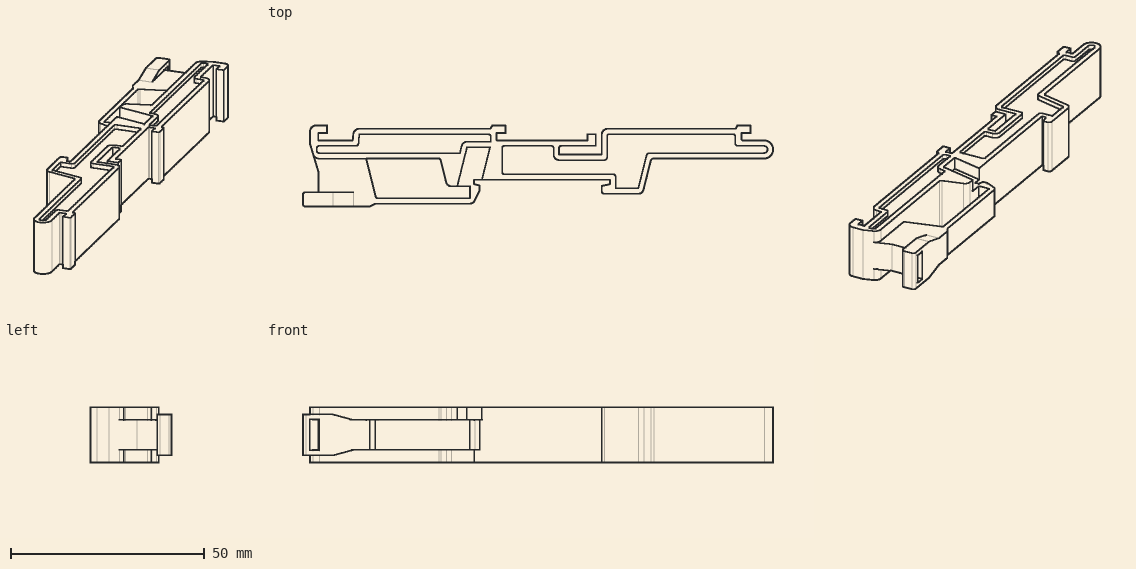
import cadquery as cq
import math

LENGTH = 121.4
DEPTH = 21.0
HEIGHT = 14.3
MID_HEIGHT = HEIGHT / 2

WALL = 1.5
POCKET_DEPTH = 1.2

FINE_ROUND = 0.2
SMALL_ROUND = 0.5
MEDIUM_ROUND = 0.7
LARGE_ROUND = 1.5
OUTER_ROUND = 1.7
MIN_EDGE = 0.001

RAIL_TOP = 20.2
HOOK_MOUTH = 19.0
LEDGE = 17.1
CHANNEL_FLOOR = 13.5
RAIL_BOTTOM = 12.4
BODY_BOTTOM = 6.9
WEDGE_BOTTOM = 5.2
FOOT_BOTTOM = 3.3
SLANT = 0.25

BODY_LEFT = 1.8
LEFT_STEP = 12.9
STEP_RUN = 0.2
LEFT_HOOK = 50.0
CHANNEL_LEFT = 66.2
CHANNEL_RIGHT = 77.1
TONGUE_END = 75.6
FOOT_NECK = 79.3
FOOT_TOP_RIGHT = 90.0
RIGHT_HOOK = 113.3
WEDGE_LEFT = 35.5
WEDGE_RIGHT = 44.2

HOOK_REACH = 2.3
HOOK_SHOULDER = 1.6
SHOULDER_RUN = 0.5
TONGUE_LIP_WIDTH = 2.2
TONGUE_LIP_TOP = 18.7
FOOT_TIP_TOP = 5.3
FOOT_NECK_BOTTOM = 5.8

CLIP_HEIGHT = 7.8
WEB_LEFT = 4.0
WEB_KNEE = 9.0
WEB_SHOULDER = 16.3
WINDOW_LEFT = 19.0
WINDOW_RIGHT = 43.1
ARM_BOTTOM = 0.7
CATCH_CORNER = 44.0
CATCH_LOW = 4.1
CATCH_HIGH = 5.5
TAB_DEPTH = 3.8
TAB_HEIGHT = 10.6
TAB_WIDE_END = 7.8
TAB_TAPER_END = 13.0
TAB_FLAT_END = 17.2
TAB_RAMP_END = 18.7
TAB_SLOT_LEFT = 1.8
TAB_SLOT_LENGTH = 2.4
TAB_SLOT_HEIGHT = 8.0

RECESS_LEFT = 42.4
RECESS_RIGHT = 48.3
RECESS_TOP = 15.3

LEFT_POCKET_START = 3.6
RIGHT_POCKET_STEP = 111.6


def toward(start, end, distance):
    """Point at a distance from start along the line to end."""
    ratio = distance / math.dist(start, end)
    return (start[0] + (end[0] - start[0]) * ratio, start[1] + (end[1] - start[1]) * ratio)


def outline(corners, bottom, height):
    """Extrude a closed outline of (x, y) corners; (x, y, r) rounds that corner with radius r."""
    steps = []
    for i, corner in enumerate(corners):
        point = corner[:2]
        if len(corner) == 2:
            steps.append((point,))
            continue
        radius = corner[2]
        before = corners[i - 1][:2]
        after = corners[(i + 1) % len(corners)][:2]
        unit_before = toward(point, before, 1.2)
        unit_after = toward(point, after, 1.2)
        half_angle = math.asin(math.dist(unit_before, unit_after) / 2.4)
        middle = ((unit_before[0] + unit_after[0]) / 2, (unit_before[1] + unit_after[1]) / 2)
        setback = radius / math.tan(half_angle)
        crest = radius / math.sin(half_angle) - radius
        steps.append((toward(point, before, setback), toward(point, middle, crest),
                      toward(point, after, setback)))
    position = steps[0][-1]
    sketch = cq.Workplane("XY").workplane(offset=bottom).moveTo(*position)
    for step in steps[1:] + steps[:1]:
        if math.dist(position, step[0]) > MIN_EDGE:
            sketch = sketch.lineTo(*step[0])
        if len(step) > 1:
            sketch = sketch.threePointArc(*step[1:])
        position = step[-1]
    return sketch.close().extrude(height)


def slanted_x(x, y, new_y):
    """X at new_y on the slanted wall that passes through (x, y)."""
    return x + SLANT * (new_y - y)


def back_hook(mouth_wall):
    """Corners of a back hook that opens to the right, from the rail top to the ledge."""
    shoulder = mouth_wall - HOOK_SHOULDER
    tip = mouth_wall + HOOK_REACH
    return [
        (shoulder, RAIL_TOP),
        (shoulder + SHOULDER_RUN, DEPTH),
        (tip, DEPTH, FINE_ROUND),
        (tip, HOOK_MOUTH),
        (mouth_wall, HOOK_MOUTH),
        (mouth_wall, LEDGE, FINE_ROUND),
    ]


def make_body():
    """Full-height body: two rails joined by a middle block, with hooks and the fixed foot."""
    end_radius = (LEDGE - RAIL_BOTTOM) / 2
    foot_right = slanted_x(FOOT_TOP_RIGHT, RAIL_BOTTOM, FOOT_BOTTOM)
    wedge_tip = slanted_x(WEDGE_LEFT, WEDGE_BOTTOM, RAIL_BOTTOM)
    left_hook_tip = WEB_LEFT + HOOK_REACH
    web_slant = (WEB_LEFT - BODY_LEFT) / (WEB_SHOULDER - WEB_KNEE)
    rail_corner = BODY_LEFT + web_slant * (WEB_SHOULDER - RAIL_BOTTOM)
    corners = [
        (BODY_LEFT, DEPTH, OUTER_ROUND),
        (left_hook_tip, DEPTH),
        (left_hook_tip, HOOK_MOUTH),
        (WEB_LEFT, HOOK_MOUTH),
        (WEB_LEFT, LEDGE),
        (LEFT_STEP, LEDGE),
        (LEFT_STEP + STEP_RUN, RAIL_TOP, OUTER_ROUND),
    ]
    corners += back_hook(LEFT_HOOK)
    corners += [
        (TONGUE_END - TONGUE_LIP_WIDTH, LEDGE),
        (TONGUE_END - TONGUE_LIP_WIDTH, TONGUE_LIP_TOP),
        (TONGUE_END, TONGUE_LIP_TOP),
        (TONGUE_END, LEDGE - WALL),
        (CHANNEL_LEFT, LEDGE - WALL, SMALL_ROUND),
        (CHANNEL_LEFT, CHANNEL_FLOOR),
        (CHANNEL_RIGHT, CHANNEL_FLOOR),
        (CHANNEL_RIGHT, RAIL_TOP, OUTER_ROUND),
    ]
    corners += back_hook(RIGHT_HOOK)
    corners += [
        (LENGTH, LEDGE, end_radius),
        (LENGTH, RAIL_BOTTOM, end_radius),
        (FOOT_TOP_RIGHT, RAIL_BOTTOM, MEDIUM_ROUND),
        (foot_right, FOOT_BOTTOM, LARGE_ROUND),
        (CHANNEL_RIGHT, FOOT_BOTTOM, MEDIUM_ROUND),
        (CHANNEL_RIGHT, FOOT_TIP_TOP, FINE_ROUND),
        (FOOT_NECK, FOOT_NECK_BOTTOM, FINE_ROUND),
        (FOOT_NECK, BODY_BOTTOM),
        (WEDGE_RIGHT, BODY_BOTTOM),
        (WEDGE_RIGHT, WEDGE_BOTTOM),
        (wedge_tip, WEDGE_BOTTOM, LARGE_ROUND),
        (WEDGE_LEFT, RAIL_BOTTOM, SMALL_ROUND),
        (rail_corner, RAIL_BOTTOM, OUTER_ROUND),
        (BODY_LEFT, WEB_SHOULDER),
    ]
    return outline(corners, 0, HEIGHT)


def make_clip():
    """Web, spring arm and catch, centred in height, around an open window."""
    bottom = MID_HEIGHT - CLIP_HEIGHT / 2
    arm_top = ARM_BOTTOM + WALL
    window_top_left = slanted_x(WINDOW_LEFT, RAIL_BOTTOM, arm_top)
    catch_tip = WEDGE_RIGHT + WALL
    clip = outline([
        (BODY_LEFT, WEB_SHOULDER),
        (WEB_LEFT, WEB_KNEE),
        (WEB_LEFT, 0),
        (TAB_FLAT_END, 0),
        (TAB_RAMP_END, ARM_BOTTOM),
        (WINDOW_RIGHT, ARM_BOTTOM),
        (WINDOW_RIGHT, arm_top),
        (WINDOW_LEFT, arm_top, SMALL_ROUND),
        (window_top_left, RAIL_BOTTOM),
        (window_top_left, WEB_SHOULDER),
    ], bottom, CLIP_HEIGHT)
    catch = outline([
        (WINDOW_RIGHT - WALL, ARM_BOTTOM),
        (CATCH_CORNER, ARM_BOTTOM, LARGE_ROUND),
        (catch_tip, CATCH_LOW),
        (catch_tip, CATCH_HIGH, FINE_ROUND),
        (WEDGE_RIGHT, FOOT_NECK_BOTTOM),
        (WEDGE_RIGHT, BODY_BOTTOM),
        (WINDOW_RIGHT, BODY_BOTTOM),
        (WINDOW_RIGHT, arm_top),
        (WINDOW_RIGHT - WALL, arm_top),
    ], bottom, CLIP_HEIGHT)
    return clip.union(catch)


def make_tab():
    """Release tab that tapers in height into the clip, with a slot through its free end."""
    half_tab = TAB_HEIGHT / 2
    half_clip = CLIP_HEIGHT / 2
    upper = [(0, half_tab), (TAB_WIDE_END, half_tab), (TAB_TAPER_END, half_clip)]
    lower = [(x, -z) for x, z in reversed(upper)]
    tab = (
        cq.Workplane("XZ", origin=(0, 0, MID_HEIGHT))
        .polyline(upper + lower)
        .close()
        .extrude(-TAB_DEPTH)
    )
    return tab.edges("|Z and <X").fillet(MEDIUM_ROUND)


def make_tab_slot():
    """Cutter for the slot through the tab."""
    return cq.Workplane("XY").box(
        TAB_SLOT_LENGTH, TAB_DEPTH, TAB_SLOT_HEIGHT, centered=(False, False, True)
    ).translate((TAB_SLOT_LEFT, 0, MID_HEIGHT))


def make_left_pocket():
    """Cutter for the shallow pocket that follows the left rail."""
    low = RAIL_BOTTOM + WALL
    high = LEDGE - WALL
    step = LEFT_STEP + WALL
    right = LEFT_HOOK - WALL
    recess_wall = RECESS_LEFT - WALL
    return outline([
        (LEFT_POCKET_START, high, SMALL_ROUND),
        (step, high, MEDIUM_ROUND),
        (step + STEP_RUN, RAIL_TOP - WALL),
        (right, RAIL_TOP - WALL, MEDIUM_ROUND),
        (right, RECESS_TOP + WALL),
        (slanted_x(recess_wall, RECESS_TOP, RECESS_TOP + WALL), RECESS_TOP + WALL, LARGE_ROUND),
        (slanted_x(recess_wall, RECESS_TOP, low), low),
        (LEFT_POCKET_START, low, SMALL_ROUND),
    ], HEIGHT - POCKET_DEPTH, POCKET_DEPTH)


def make_right_pocket():
    """Cutter for the shallow pocket that follows the middle block, the foot and the right rail."""
    low = RAIL_BOTTOM + WALL
    high = LEDGE - WALL
    foot_floor = FOOT_BOTTOM + WALL
    foot_wall = FOOT_TOP_RIGHT - WALL
    end = LENGTH - WALL
    end_radius = (high - low) / 2
    return outline([
        (LEFT_HOOK + WALL, high, SMALL_ROUND),
        (CHANNEL_LEFT - WALL, high, SMALL_ROUND),
        (CHANNEL_LEFT - WALL, CHANNEL_FLOOR - WALL, LARGE_ROUND),
        (CHANNEL_RIGHT + WALL, CHANNEL_FLOOR - WALL, MEDIUM_ROUND),
        (CHANNEL_RIGHT + WALL, RAIL_TOP - WALL, SMALL_ROUND),
        (RIGHT_POCKET_STEP, RAIL_TOP - WALL, SMALL_ROUND),
        (RIGHT_POCKET_STEP, high, MEDIUM_ROUND),
        (end, high, end_radius),
        (end, low, end_radius),
        (slanted_x(foot_wall, RAIL_BOTTOM, low), low, MEDIUM_ROUND),
        (slanted_x(foot_wall, RAIL_BOTTOM, foot_floor), foot_floor),
        (FOOT_NECK + WALL, foot_floor),
        (FOOT_NECK + WALL, BODY_BOTTOM + WALL, MEDIUM_ROUND),
        (LEFT_HOOK + WALL, BODY_BOTTOM + WALL, SMALL_ROUND),
    ], HEIGHT - POCKET_DEPTH, POCKET_DEPTH)


def make_recess():
    """Cutter for the slanted recess, open to the front, from the top face down to the clip."""
    floor = MID_HEIGHT + CLIP_HEIGHT / 2
    return outline([
        (RECESS_LEFT, RECESS_TOP),
        (RECESS_RIGHT, RECESS_TOP),
        (slanted_x(RECESS_RIGHT, RECESS_TOP, 0), 0),
        (slanted_x(RECESS_LEFT, RECESS_TOP, 0), 0),
    ], floor, HEIGHT - floor)


result = (
    make_body()
    .union(make_clip())
    .union(make_tab())
    .cut(make_tab_slot())
    .cut(make_left_pocket())
    .cut(make_right_pocket())
    .cut(make_recess())
)